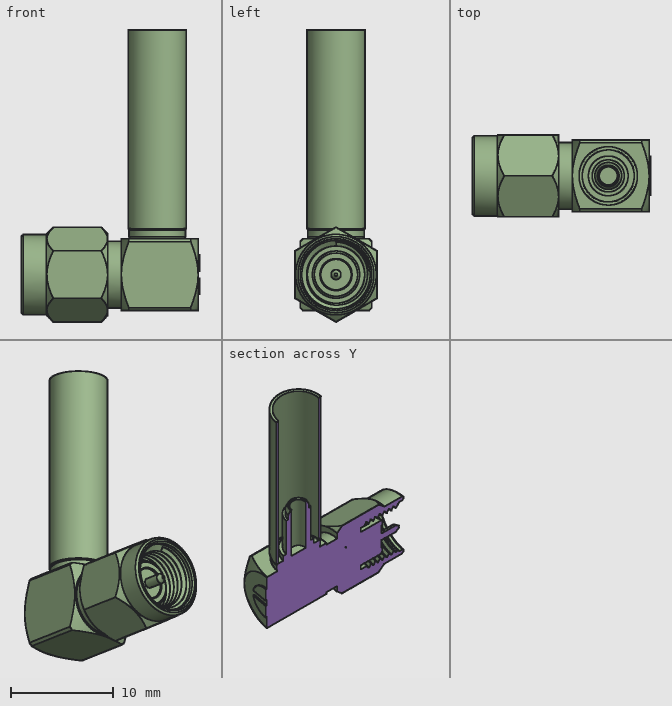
import cadquery as cq
import math


sleeve_radius = 3.92
sleeve_length = 2.45
sleeve_chamfer = 0.23
hex_flats = 8.0
hex_corner_radius = hex_flats / math.sqrt(3)
hex_end = 8.4
hex_front_chamfer = hex_corner_radius - sleeve_radius
hex_back_chamfer = hex_corner_radius - hex_flats / 2

mouth_radius = 3.5
mouth_chamfer = 0.17
counterbore_depth = 0.55
lead_in_end = 1.0
thread_minor_radius = 2.79
thread_major_radius = 3.18
thread_pitch = 0.57
thread_turns = 7
thread_start = 0.7
thread_angle = 60.0
thread_root_width = 0.05
thread_overlap = 0.05
bore_depth = 5.4

conductor_radius = 2.3
conductor_chamfer = 0.2
conductor_front = 2.67
conductor_bore_chamfer = 0.09
insulator_radius = 1.48
insulator_recess = 0.1
pin_radius = 0.48
pin_tip_radius = 0.15
pin_tip_length = 0.43
pin_front = 0.6

collar_radius = 3.27
block_start = 9.72
block_end = 17.25
block_width = 7.0
block_edge_chamfer = 0.28
block_cone_radius = 3.45
block_cone_angle = 30.0

cap_radius = 1.93
cap_end = 17.4
cap_slot_width = 0.68

cable_x = 13.25
neck_radius = 2.75
neck_foot_radius = 2.67
neck_foot_height = 0.17
neck_top = 4.45
neck_chamfer = 0.15
ferrule_radius = 2.85
ferrule_bore_radius = 2.53
overall_height = 28.42
ferrule_top = overall_height - hex_corner_radius
stem_shoulder_radius = 1.93
stem_shoulder_top = 5.12
stem_grip_radius = 1.55
stem_grip_top = 9.65
stem_radius = 1.3
stem_tip_radius = 1.05
stem_tip_length = 0.57
stem_top = 10.8
stem_hole_radius = 0.88
stem_hole_chamfer = 0.1


def turned_x(points):
    """Solid of revolution about the X axis from (x, radius) points."""
    return cq.Workplane("XY").polyline(points).close().revolve(360, (0, 0, 0), (1, 0, 0))


def turned_z(points):
    """Solid of revolution about the cable axis from (radius, z) points."""
    profile = cq.Workplane("XZ").polyline(points).close()
    return profile.revolve(360, (0, 0, 0), (0, 1, 0)).translate((cable_x, 0, 0))


def rod_x(radius, start, end):
    return turned_x([(start, 0), (start, radius), (end, radius), (end, 0)])


def make_nut():
    """Round sleeve followed by a hexagon whose ends are turned down at 45 degrees."""
    sleeve = turned_x([
        (0, 0),
        (0, sleeve_radius - sleeve_chamfer),
        (sleeve_chamfer, sleeve_radius),
        (sleeve_length, sleeve_radius),
        (sleeve_length, 0),
    ])
    hexagon = (
        cq.Workplane("YZ", origin=(sleeve_length, 0, 0))
        .polygon(6, 2 * hex_corner_radius)
        .extrude(hex_end - sleeve_length)
        .rotate((0, 0, 0), (1, 0, 0), 90)
    )
    hex_envelope = turned_x([
        (sleeve_length, 0),
        (sleeve_length, hex_corner_radius - hex_front_chamfer),
        (sleeve_length + hex_front_chamfer, hex_corner_radius),
        (hex_end - hex_back_chamfer, hex_corner_radius),
        (hex_end, hex_corner_radius - hex_back_chamfer),
        (hex_end, 0),
    ])
    return sleeve.union(hexagon.intersect(hex_envelope))


def make_nut_bore():
    """Chamfered mouth and short counterbore, leading through a cone into the plain bore."""
    counterbore_radius = mouth_radius - mouth_chamfer
    return turned_x([
        (0, 0),
        (0, mouth_radius),
        (mouth_chamfer, counterbore_radius),
        (counterbore_depth, counterbore_radius),
        (lead_in_end, thread_minor_radius),
        (bore_depth, thread_minor_radius),
        (bore_depth, 0),
    ])


def make_thread_groove():
    """Right-hand helical groove about the X axis, starting at the top of the lead-in cone."""
    inner_radius = thread_minor_radius - thread_overlap
    half_root = thread_root_width / 2
    flank_slope = math.tan(math.radians(thread_angle / 2))
    half_opening = half_root + (thread_major_radius - inner_radius) * flank_slope
    helix = cq.Wire.makeHelix(thread_pitch, thread_turns * thread_pitch, thread_minor_radius)
    groove = (
        cq.Workplane("XZ")
        .polyline([
            (inner_radius, -half_opening),
            (thread_major_radius, -half_root),
            (thread_major_radius, half_root),
            (inner_radius, half_opening),
        ])
        .close()
        .sweep(cq.Workplane(helix), isFrenet=True)
    )
    return (
        groove
        .rotate((0, 0, 0), (0, 1, 0), 90)
        .rotate((0, 0, 0), (1, 0, 0), 180)
        .translate((thread_start, 0, 0))
    )


def make_mating_end():
    """Outer conductor with a recessed insulator and a pointed centre pin."""
    insulator_front = conductor_front + insulator_recess
    return turned_x([
        (pin_front, 0),
        (pin_front, pin_tip_radius),
        (pin_front + pin_tip_length, pin_radius),
        (insulator_front, pin_radius),
        (insulator_front, insulator_radius),
        (conductor_front + conductor_bore_chamfer, insulator_radius),
        (conductor_front, insulator_radius + conductor_bore_chamfer),
        (conductor_front, conductor_radius - conductor_chamfer),
        (conductor_front + conductor_chamfer, conductor_radius),
        (bore_depth, conductor_radius),
        (bore_depth, 0),
    ])


def make_block():
    """Square block with chamfered long edges and corners turned down at both ends."""
    length = block_end - block_start
    block = (
        cq.Workplane("YZ", origin=(block_start, 0, 0))
        .rect(block_width, block_width)
        .extrude(length)
        .edges("|X")
        .chamfer(block_edge_chamfer)
    )
    envelope_radius = block_width / math.sqrt(2)
    cone_length = (envelope_radius - block_cone_radius) * math.tan(math.radians(block_cone_angle))
    envelope = turned_x([
        (block_start, 0),
        (block_start, block_cone_radius),
        (block_start + cone_length, envelope_radius),
        (block_end - cone_length, envelope_radius),
        (block_end, block_cone_radius),
        (block_end, 0),
    ])
    return block.intersect(envelope)


def make_cap():
    """Thin round cap crossed by a screwdriver slot along Y."""
    thickness = cap_end - block_end
    slot = (
        cq.Workplane("YZ", origin=(block_end, 0, 0))
        .rect(2 * cap_radius, cap_slot_width)
        .extrude(thickness)
    )
    return rod_x(cap_radius, block_end, cap_end).cut(slot)


def make_neck_and_stem():
    """Neck on top of the block, carrying the stepped hollow crimp stem."""
    neck_bottom = block_width / 2
    return turned_z([
        (0, neck_bottom),
        (neck_foot_radius, neck_bottom),
        (neck_radius, neck_bottom + neck_foot_height),
        (neck_radius, neck_top - neck_chamfer),
        (neck_radius - neck_chamfer, neck_top),
        (stem_shoulder_radius, neck_top),
        (stem_shoulder_radius, stem_shoulder_top),
        (stem_grip_radius, stem_shoulder_top),
        (stem_grip_radius, stem_grip_top),
        (stem_radius, stem_grip_top),
        (stem_radius, stem_top - stem_tip_length),
        (stem_tip_radius, stem_top),
        (stem_hole_radius + stem_hole_chamfer, stem_top),
        (stem_hole_radius, stem_top - stem_hole_chamfer),
        (stem_hole_radius, neck_top),
        (0, neck_top),
    ])


def make_ferrule():
    """Thin crimp tube standing on the neck and open at the top."""
    return turned_z([
        (ferrule_bore_radius, neck_top),
        (ferrule_radius, neck_top),
        (ferrule_radius, ferrule_top),
        (ferrule_bore_radius, ferrule_top),
    ])


result = (
    make_nut()
    .cut(make_nut_bore())
    .cut(make_thread_groove())
    .union(make_mating_end())
    .union(rod_x(collar_radius, hex_end, block_start))
    .union(make_block())
    .union(make_cap())
    .union(make_neck_and_stem())
    .union(make_ferrule())
)